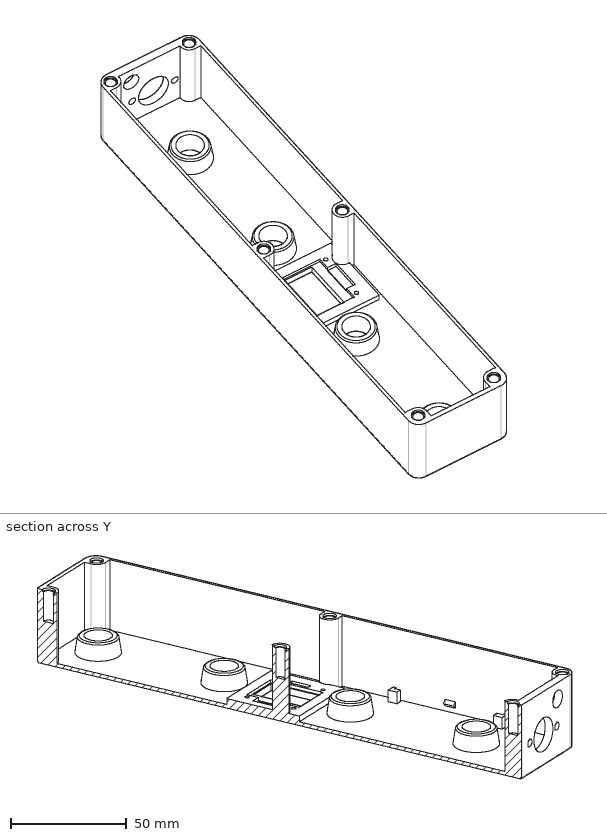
import cadquery as cq

length = 246.0
width = 50.0
height = 35.0
corner_radius = 5.5
bottom_chamfer = 0.7
floor = 2.0
side_wall = 1.5
left_wall = 4.0
right_wall = 2.2

inner_left = -length / 2 + left_wall
inner_right = length / 2 - right_wall
inner_back = width / 2 - side_wall
inner_front = -inner_back

post_diameter = 8.9
screw_hole = 4.7
screw_hole_depth = 14.8
screw_mouth = 6.0
screw_mouth_depth = 1.0
left_post = (-118.5, 20.5)
middle_post = (-0.5, 20.5)
right_post = (117.3, 19.7)

panel_x = 8.4
control_pitch = 64.0
control_offsets = [-1.5, -0.5, 0.5, 1.5]
ring_base = 20.2
ring_shoulder = 18.0
ring_top = 16.5
ring_bore = 12.3
ring_top_z = 9.8
ring_bevel = 0.7

pad_length = 37.0
pad_width = 38.0
pad_y = 2.2
pad_top = 4.7
window_length = 25.0
window_width = 14.0
recess_length = 26.5
recess_width = 19.5
recess_y = 2.0
recess_depth = 1.5
notch_length = 14.8
notch_width = 4.5
notch_depth = 2.0
slot_length = 9.5
slot_width = 2.2
slot_y = -10.3
slot_depth = 1.5
pin_hole = 1.8
pin_hole_depth = 2.0
pin_pitch_x = 23.5
pin_pitch_y = 23.9
pin_y = 1.85

connector_y = 2.2
connector_z = 14.8
connector_hole = 15.5
connector_screw_hole = 3.5
connector_screw_pitch = 22.1
cable_hole = 7.9
cable_y = -9.3
cable_z = 27.3

holder_x = -59.8
hook_span = 57.8
hook_length = 4.5
hook_reach = 4.2
hook_leg = 1.5
hook_arm = 3.0
hook_height = 7.5
catch_length = 5.2
catch_reach = 1.5
catch_rise = 3.0

wall_overlap = side_wall / 2


def block(x_range, y_range, z_range):
    """Box spanning the given ranges."""
    low, high = zip(x_range, y_range, z_range)
    sizes = [b - a for a, b in zip(low, high)]
    return cq.Workplane("XY").box(*sizes, centered=False).translate(low)


def centred_block(x, y, size_x, size_y, z_range):
    """Box centred on (x, y) in plan."""
    x_range = (x - size_x / 2, x + size_x / 2)
    y_range = (y - size_y / 2, y + size_y / 2)
    return block(x_range, y_range, z_range)


def cylinder(x, y, diameter, z_range):
    """Upright cylinder."""
    bottom, top = z_range
    return cq.Workplane("XY", origin=(x, y, bottom)).circle(diameter / 2).extrude(top - bottom)


def shell():
    """Solid outer body, and the same body hollowed out from above."""
    outer = (
        cq.Workplane("XY")
        .box(length, width, height, centered=(True, True, False))
        .edges("|Z").fillet(corner_radius)
        .faces("<Z").edges().chamfer(bottom_chamfer)
    )
    cavity = block((inner_left, inner_right), (inner_front, inner_back), (floor, height))
    return outer, outer.cut(cavity)


def post(x, y, end_x=None):
    """Screw post squared off to the nearest side wall and, at a corner, to the end wall."""
    radius = post_diameter / 2
    z_range = (0, height)
    side_y = inner_back if y > 0 else inner_front
    solid = cylinder(x, y, post_diameter, z_range)
    solid = solid.union(block((x - radius, x + radius), sorted((y, side_y)), z_range))
    if end_x is not None:
        for y_range in ((y - radius, y + radius), sorted((y, side_y))):
            solid = solid.union(block(sorted((x, end_x)), y_range, z_range))
    return solid


def screw_bore(x, y):
    bore = cylinder(x, y, screw_hole, (height - screw_hole_depth, height))
    return bore.union(cylinder(x, y, screw_mouth, (height - screw_mouth_depth, height)))


def ring_boss(x):
    """Tapered ring standing on the floor, with a bevelled rim."""
    return (
        cq.Workplane("XZ")
        .moveTo(0, floor)
        .lineTo(ring_base / 2, floor)
        .lineTo(ring_shoulder / 2, ring_top_z - ring_bevel)
        .lineTo(ring_top / 2, ring_top_z)
        .lineTo(0, ring_top_z)
        .close()
        .revolve(360, (0, 0, 0), (0, 1, 0))
        .translate((x, 0, 0))
    )


def display_pad():
    return centred_block(panel_x, pad_y, pad_length, pad_width, (0, pad_top))


def display_cuts():
    """Window, stepped recess, cable notch, slot and pin holes of the display pad."""
    notch_y = recess_y + recess_width / 2 + notch_width / 2
    cuts = centred_block(panel_x, 0, window_length, window_width, (0, pad_top))
    pockets = [
        (recess_y, recess_length, recess_width, recess_depth),
        (notch_y, notch_length, notch_width, notch_depth),
        (slot_y, slot_length, slot_width, slot_depth),
    ]
    for y, size_x, size_y, depth in pockets:
        cuts = cuts.union(centred_block(panel_x, y, size_x, size_y, (pad_top - depth, pad_top)))
    for side_x in (-1, 1):
        for side_y in (-1, 1):
            x = panel_x + side_x * pin_pitch_x / 2
            y = pin_y + side_y * pin_pitch_y / 2
            cuts = cuts.union(cylinder(x, y, pin_hole, (pad_top - pin_hole_depth, pad_top)))
    return cuts


def end_wall_hole(y, z, diameter):
    return cq.Workplane("YZ", origin=(-length / 2, y, z)).circle(diameter / 2).extrude(left_wall)


def connector_cuts():
    cuts = end_wall_hole(connector_y, connector_z, connector_hole)
    cuts = cuts.union(end_wall_hole(cable_y, cable_z, cable_hole))
    for side in (-1, 1):
        y = connector_y + side * connector_screw_pitch / 2
        cuts = cuts.union(end_wall_hole(y, connector_z, connector_screw_hole))
    return cuts


def hook(side):
    """L-shaped hook: a leg off the front wall and an arm turned toward the holder centre."""
    outer_x = holder_x + side * hook_span / 2
    tip_y = inner_front + hook_reach
    z_range = (0, hook_height)
    leg_x = sorted((outer_x, outer_x - side * hook_leg))
    arm_x = sorted((outer_x, outer_x - side * hook_length))
    leg = block(leg_x, (inner_front - wall_overlap, tip_y), z_range)
    return leg.union(block(arm_x, (tip_y - hook_arm, tip_y), z_range))


def catch():
    """Triangular catch projecting from the front wall."""
    root_y = inner_front - wall_overlap
    return (
        cq.Workplane("YZ", origin=(holder_x - catch_length / 2, 0, 0))
        .moveTo(root_y, hook_height)
        .lineTo(inner_front, hook_height)
        .lineTo(inner_front + catch_reach, hook_height - catch_rise / 2)
        .lineTo(inner_front, hook_height - catch_rise)
        .lineTo(root_y, hook_height - catch_rise)
        .close()
        .extrude(catch_length)
    )


outer, result = shell()

posts = [(left_post, inner_left), (middle_post, None), (right_post, inner_right)]
post_places = [(x, side * y, end_x) for (x, y), end_x in posts for side in (-1, 1)]
control_places = [panel_x + offset * control_pitch for offset in control_offsets]

result = result.union(display_pad())
for place in post_places:
    result = result.union(post(*place))
for x in control_places:
    result = result.union(ring_boss(x))
for side in (-1, 1):
    result = result.union(hook(side))
result = result.union(catch())
result = result.intersect(outer)

openings = display_cuts()
for place in post_places:
    openings = openings.cut(post(*place))
result = result.cut(openings).cut(connector_cuts())
for x, y, _ in post_places:
    result = result.cut(screw_bore(x, y))
for x in control_places:
    result = result.cut(cylinder(x, 0, ring_bore, (0, ring_top_z)))